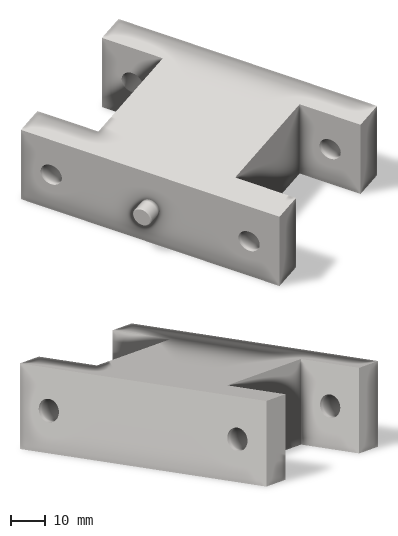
import cadquery as cq

LENGTH = 85.0
DEPTH = 59.0
HEIGHT = 25.4
WEB_WIDTH = 45.0
FLANGE_THICKNESS = 10.0

HOLE_DIAMETER = 7.0
HOLE_SPACING = 65.0

PIN_DIAMETER = 6.0
PIN_PROJECTION = 5.0
PIN_CHAMFER = 0.25


def make_housing():
    """I-shaped block with a pair of holes running through both flanges."""
    notch_width = (LENGTH - WEB_WIDTH) / 2
    notch_depth = DEPTH - 2 * FLANGE_THICKNESS
    notch_centre_x = (LENGTH - notch_width) / 2

    block = cq.Workplane("XY").box(LENGTH, DEPTH, HEIGHT).translate((0, DEPTH / 2, 0))
    notches = (
        cq.Workplane("XY")
        .pushPoints([(-notch_centre_x, DEPTH / 2), (notch_centre_x, DEPTH / 2)])
        .rect(notch_width, notch_depth)
        .extrude(HEIGHT / 2, both=True)
    )
    holes = (
        cq.Workplane("XZ")
        .pushPoints([(-HOLE_SPACING / 2, 0), (HOLE_SPACING / 2, 0)])
        .circle(HOLE_DIAMETER / 2)
        .extrude(-DEPTH)
    )
    return block.cut(notches).cut(holes)


def make_pin():
    """Round pin seated on the front face, chamfered at its free end."""
    pin = cq.Workplane("XZ").circle(PIN_DIAMETER / 2).extrude(PIN_PROJECTION)
    return pin.faces("<Y").edges().chamfer(PIN_CHAMFER)


housing = make_housing()
pin = make_pin()

result = cq.Compound.makeCompound([housing.val(), pin.val()])